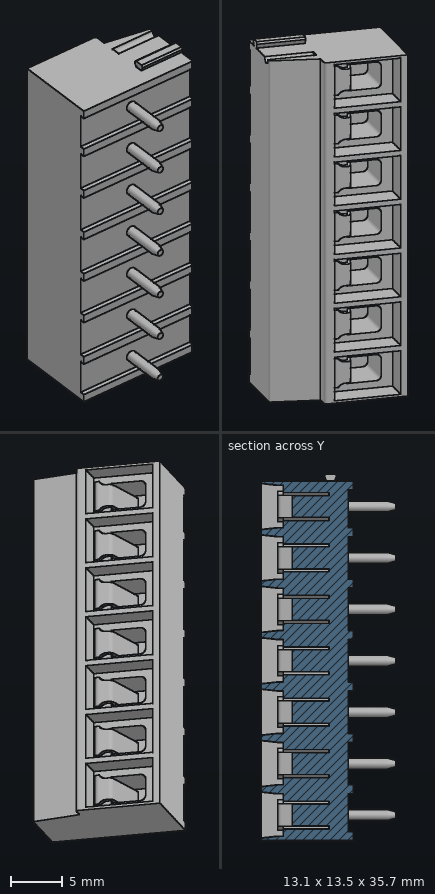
import cadquery as cq
import math


POLES = 7
TOTAL_HEIGHT = 35.68
TOTAL_LENGTH = 13.1
HOUSING_DEPTH = 13.5
TAB_HEIGHT = 0.68
HOUSING_HEIGHT = TOTAL_HEIGHT - TAB_HEIGHT
PITCH = HOUSING_HEIGHT / POLES
FOOT_FACE_X = 9.0
FOOT_PROJECTION = 0.5
FOOT_HEIGHT = 0.9
BACK_X = FOOT_FACE_X - FOOT_PROJECTION
STEP_Y = 8.53
SLOPE_START_X = 1.32
SLOPE_END_X = 2.2
STEP_RADIUS = 0.32
REAR_RADIUS = 0.2

TAB_CENTRE_X = 6.75
TAB_BASE_WIDTH = 0.85
TAB_MAX_WIDTH = 1.25
TAB_TOP_WIDTH = 0.93
TAB_CHAMFER_HEIGHT = 0.2

GROOVE_CENTRE_X = 3.1
GROOVE_RADIUS = 0.5

POCKET_BOTTOM_Y = 0.75
POCKET_TOP_Y = 7.5
POCKET_HEIGHT = 4.45
POCKET_TAPER_DEPTH = 1.6
POCKET_TAPER_INSET = 0.18
POCKET_STRAIGHT_DEPTH = 0.55
POCKET_FLOOR_X = POCKET_TAPER_DEPTH + POCKET_STRAIGHT_DEPTH

HOLE_BOTTOM_Y = 2.07
HOLE_TOP_Y = 5.53
HOLE_HEIGHT = 2.68
HOLE_RADIUS = 0.55

TONGUE_FACE_X = POCKET_TAPER_DEPTH
TONGUE_WALL_GAP = 0.1
TONGUE_TOP_Y = POCKET_TOP_Y - POCKET_TAPER_INSET - TONGUE_WALL_GAP
TONGUE_NOSE_RADIUS = POCKET_STRAIGHT_DEPTH
TONGUE_LIP_Y = 5.7
TONGUE_LIP_RADIUS = 0.45
TONGUE_RAMP_END_Y = 4.1
TONGUE_RAMP_ANGLE = 14.0
TONGUE_WIDTH = 2.18
TONGUE_HEAD_WIDTH = 2.95
FLARE_START_Y = 5.9
FLARE_RADIUS = 0.9

PIN_Y = 6.25
PIN_DIAMETER = 1.1
PIN_TIP_DIAMETER = 0.68
PIN_TIP_LENGTH = 0.8
PIN_ROOT = 0.35

POCKET_TAPER_ANGLE = math.degrees(math.atan(POCKET_TAPER_INSET / POCKET_TAPER_DEPTH))

RAMP_TILT = math.radians(TONGUE_RAMP_ANGLE)
RAMP_START_X = TONGUE_FACE_X + TONGUE_LIP_RADIUS * (1 - math.sin(RAMP_TILT))
RAMP_START_Y = TONGUE_LIP_Y - TONGUE_LIP_RADIUS * math.cos(RAMP_TILT)
HOLE_FLOOR_X = RAMP_START_X + (RAMP_START_Y - TONGUE_RAMP_END_Y) / math.tan(RAMP_TILT)


def box(x_range, y_range, z_range):
    sizes = [high - low for low, high in (x_range, y_range, z_range)]
    return cq.Workplane("XY").box(*sizes, centered=False).translate((x_range[0], y_range[0], z_range[0]))


def housing():
    body = (
        cq.Workplane("XY")
        .polyline([
            (0, 0),
            (FOOT_FACE_X, 0),
            (FOOT_FACE_X, HOUSING_DEPTH),
            (SLOPE_END_X, HOUSING_DEPTH),
            (SLOPE_START_X, STEP_Y),
            (0, STEP_Y),
        ])
        .close()
        .extrude(HOUSING_HEIGHT)
    )
    rounded_corners = [
        (0, STEP_Y, STEP_RADIUS),
        (SLOPE_END_X, HOUSING_DEPTH, REAR_RADIUS),
        (FOOT_FACE_X, HOUSING_DEPTH, REAR_RADIUS),
    ]
    for x, y, radius in rounded_corners:
        corner = cq.selectors.NearestToPointSelector((x, y, HOUSING_HEIGHT / 2))
        body = body.edges(corner).fillet(radius)
    return body


def foot_gap(pole):
    """Clear space between neighbouring feet; the end feet sit flush with the housing ends."""
    low = FOOT_HEIGHT if pole == 0 else pole * PITCH + FOOT_HEIGHT / 2
    high = HOUSING_HEIGHT - FOOT_HEIGHT if pole == POLES - 1 else (pole + 1) * PITCH - FOOT_HEIGHT / 2
    return box((BACK_X, FOOT_FACE_X), (0, HOUSING_DEPTH), (low, high))


def tab():
    widest_z = HOUSING_HEIGHT + TAB_HEIGHT - TAB_CHAMFER_HEIGHT
    levels = [
        (TAB_BASE_WIDTH, HOUSING_HEIGHT),
        (TAB_MAX_WIDTH, widest_z),
        (TAB_TOP_WIDTH, TOTAL_HEIGHT),
    ]
    right_side = [(TAB_CENTRE_X + width / 2, z) for width, z in levels]
    left_side = [(TAB_CENTRE_X - width / 2, z) for width, z in reversed(levels)]
    return (
        cq.Workplane("XZ", origin=(0, HOUSING_DEPTH, 0))
        .polyline(right_side + left_side)
        .close()
        .extrude(HOUSING_DEPTH - STEP_Y)
    )


def groove():
    return (
        cq.Workplane("XZ", origin=(0, HOUSING_DEPTH, 0))
        .center(GROOVE_CENTRE_X, HOUSING_HEIGHT)
        .circle(GROOVE_RADIUS)
        .extrude(HOUSING_DEPTH - STEP_Y)
    )


def pocket(pole_z):
    length = POCKET_TOP_Y - POCKET_BOTTOM_Y
    centre_y = (POCKET_TOP_Y + POCKET_BOTTOM_Y) / 2
    mouth = (
        cq.Workplane("YZ", origin=(0, centre_y, pole_z))
        .rect(length, POCKET_HEIGHT)
        .extrude(POCKET_TAPER_DEPTH, taper=POCKET_TAPER_ANGLE)
        .faces(">X")
        .wires()
        .toPending()
        .workplane()
        .extrude(POCKET_STRAIGHT_DEPTH)
    )
    hole = box(
        (0, HOLE_FLOOR_X),
        (HOLE_BOTTOM_Y, HOLE_TOP_Y),
        (pole_z - HOLE_HEIGHT / 2, pole_z + HOLE_HEIGHT / 2),
    )
    hole = hole.edges("|X and <Y").fillet(HOLE_RADIUS)
    return mouth.union(hole)


def tongue(pole_z):
    """Rounded nose, flat face, rounded lip and a steep ramp into the wire hole; flared toward the nose."""
    nose_centre = (POCKET_FLOOR_X, TONGUE_TOP_Y - TONGUE_NOSE_RADIUS)
    lip_centre = (TONGUE_FACE_X + TONGUE_LIP_RADIUS, TONGUE_LIP_Y)
    nose_middle = TONGUE_NOSE_RADIUS * math.sqrt(0.5)
    lip_middle = (math.pi / 2 - RAMP_TILT) / 2
    profile = (
        cq.Workplane("XY")
        .moveTo(HOLE_FLOOR_X, TONGUE_TOP_Y)
        .lineTo(POCKET_FLOOR_X, TONGUE_TOP_Y)
        .threePointArc(
            (nose_centre[0] - nose_middle, nose_centre[1] + nose_middle),
            (TONGUE_FACE_X, nose_centre[1]),
        )
        .lineTo(TONGUE_FACE_X, TONGUE_LIP_Y)
        .threePointArc(
            (
                lip_centre[0] - TONGUE_LIP_RADIUS * math.cos(lip_middle),
                lip_centre[1] - TONGUE_LIP_RADIUS * math.sin(lip_middle),
            ),
            (RAMP_START_X, RAMP_START_Y),
        )
        .lineTo(HOLE_FLOOR_X, TONGUE_RAMP_END_Y)
        .close()
        .extrude(TONGUE_HEAD_WIDTH)
        .translate((0, 0, pole_z - TONGUE_HEAD_WIDTH / 2))
    )
    return profile.intersect(tongue_outline(pole_z))


def tongue_outline(pole_z):
    neck = TONGUE_WIDTH / 2
    head = TONGUE_HEAD_WIDTH / 2
    flare_angle = math.acos(1 - (head - neck) / FLARE_RADIUS)
    head_y = FLARE_START_Y + FLARE_RADIUS * math.sin(flare_angle)
    middle_y = FLARE_START_Y + FLARE_RADIUS * math.sin(flare_angle / 2)
    middle = neck + FLARE_RADIUS * (1 - math.cos(flare_angle / 2))
    return (
        cq.Workplane("YZ", origin=(0, 0, pole_z))
        .moveTo(TONGUE_RAMP_END_Y, -neck)
        .lineTo(FLARE_START_Y, -neck)
        .threePointArc((middle_y, -middle), (head_y, -head))
        .lineTo(TONGUE_TOP_Y, -head)
        .lineTo(TONGUE_TOP_Y, head)
        .lineTo(head_y, head)
        .threePointArc((middle_y, middle), (FLARE_START_Y, neck))
        .lineTo(TONGUE_RAMP_END_Y, neck)
        .close()
        .extrude(HOLE_FLOOR_X)
    )


def pin(pole_z):
    root_x = BACK_X - PIN_ROOT
    shoulder_x = TOTAL_LENGTH - PIN_TIP_LENGTH
    return (
        cq.Workplane("XY")
        .polyline([
            (root_x, 0),
            (root_x, PIN_DIAMETER / 2),
            (shoulder_x, PIN_DIAMETER / 2),
            (TOTAL_LENGTH, PIN_TIP_DIAMETER / 2),
            (TOTAL_LENGTH, 0),
        ])
        .close()
        .revolve(360, (0, 0, 0), (1, 0, 0))
        .translate((0, PIN_Y, pole_z))
    )


result = housing().cut(groove()).union(tab())
for pole in range(POLES):
    pole_centre = (pole + 0.5) * PITCH
    result = result.cut(foot_gap(pole)).cut(pocket(pole_centre))
    result = result.union(tongue(pole_centre)).union(pin(pole_centre))